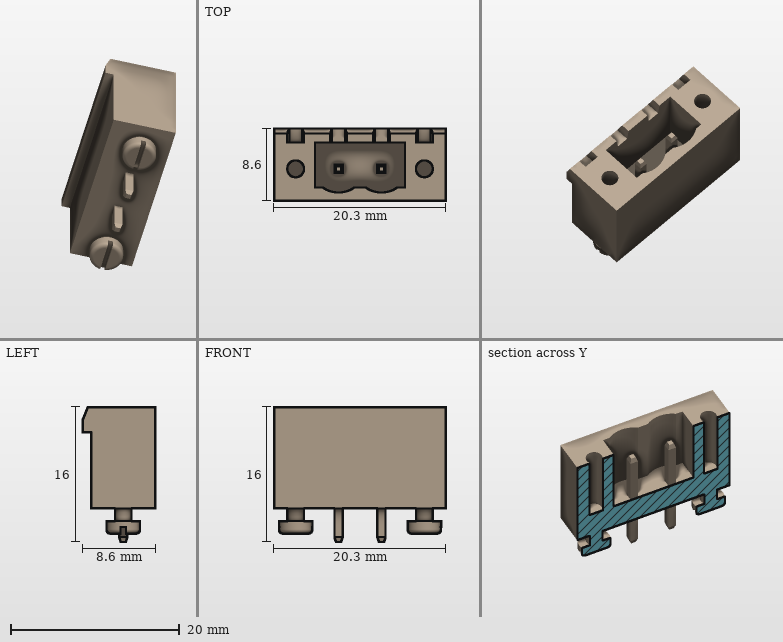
import cadquery as cq
import math

pitch = 5.08
housing_length = 4 * pitch
housing_depth = 7.6
housing_height = 12.0
lip_overhang = 1.0
lip_height = 3.0
lip_chamfer_depth = 0.6
lip_chamfer_height = 1.5

pin_x_positions = (-pitch / 2, pitch / 2)
screw_x_positions = (-1.5 * pitch, 1.5 * pitch)
axis_y = housing_depth / 2

notch_top_width = 2.0
notch_floor_width = 1.5
notch_depth = lip_chamfer_height
notch_front_y = 6.9

cavity_length = 10.6
cavity_front_y = 1.6
cavity_rear_y = notch_front_y
cavity_depth = 8.5
scallop_sag = 0.6
scallop_radius = 3.3

pin_width = 1.0
pin_tip_width = 0.6
pin_tip_length = 0.6
pin_top_z = 10.0
pin_bottom_z = -4.0

screw_diameter = 2.0
screw_head_diameter = 4.0
screw_neck_length = 1.5
screw_head_height = 1.5
screw_head_fillet = 0.5
screw_slot_width = 0.6
screw_slot_depth = 0.8
screw_hole_depth = cavity_depth


def make_housing():
    """Block with a chamfered overhanging lip along the top of its rear wall."""
    lip_y = housing_depth + lip_overhang
    profile = [
        (0, 0),
        (housing_depth, 0),
        (housing_depth, housing_height - lip_height),
        (lip_y, housing_height - lip_height),
        (lip_y, housing_height - lip_chamfer_height),
        (lip_y - lip_chamfer_depth, housing_height),
        (0, housing_height),
    ]
    block = cq.Workplane("YZ").polyline(profile).close().extrude(housing_length)
    return block.translate((-housing_length / 2, 0, 0))


def make_cavity():
    """Rectangular pocket whose front wall bulges into a shallow arc at each pin."""
    half_chord = math.sqrt(scallop_radius**2 - (scallop_radius - scallop_sag) ** 2)
    half_length = cavity_length / 2
    outline = cq.Workplane("XY").workplane(offset=housing_height - cavity_depth)
    outline = outline.moveTo(-half_length, cavity_front_y)
    for x in pin_x_positions:
        outline = outline.lineTo(x - half_chord, cavity_front_y)
        outline = outline.threePointArc(
            (x, cavity_front_y - scallop_sag),
            (x + half_chord, cavity_front_y),
        )
    outline = outline.lineTo(half_length, cavity_front_y)
    outline = outline.lineTo(half_length, cavity_rear_y)
    outline = outline.lineTo(-half_length, cavity_rear_y)
    return outline.close().extrude(cavity_depth)


def make_notch(x):
    """Notch with flared sides, open at the top and at the rear of the lip."""
    floor_z = housing_height - notch_depth
    profile = [
        (x - notch_floor_width / 2, floor_z),
        (x + notch_floor_width / 2, floor_z),
        (x + notch_top_width / 2, housing_height),
        (x - notch_top_width / 2, housing_height),
    ]
    length = housing_depth + lip_overhang - notch_front_y
    notch = cq.Workplane("XZ").polyline(profile).close().extrude(-length)
    return notch.translate((0, notch_front_y, 0))


def make_pin_tip(x, base_z, direction):
    """Tapered pin end starting at base_z and pointing up (1) or down (-1)."""
    return (
        cq.Workplane("XY", origin=(x, axis_y, base_z))
        .rect(pin_width, pin_width)
        .workplane(offset=direction * pin_tip_length)
        .rect(pin_tip_width, pin_tip_width)
        .loft(ruled=True)
    )


def make_pin(x):
    """Square contact pin, tapered at both ends."""
    shank_bottom_z = pin_bottom_z + pin_tip_length
    shank_top_z = pin_top_z - pin_tip_length
    shank = (
        cq.Workplane("XY", origin=(x, axis_y, shank_bottom_z))
        .rect(pin_width, pin_width)
        .extrude(shank_top_z - shank_bottom_z)
    )
    upper_tip = make_pin_tip(x, shank_top_z, 1)
    lower_tip = make_pin_tip(x, shank_bottom_z, -1)
    return shank.union(upper_tip).union(lower_tip)


def make_screw(x):
    """Slotted screw head on a neck below the housing base."""
    head_bottom_z = -screw_neck_length - screw_head_height
    head = (
        cq.Workplane("XY", origin=(x, axis_y, head_bottom_z))
        .circle(screw_head_diameter / 2)
        .extrude(screw_head_height)
        .faces("<Z")
        .edges()
        .fillet(screw_head_fillet)
    )
    slot = (
        cq.Workplane("XY", origin=(x, axis_y, head_bottom_z))
        .rect(screw_head_diameter, screw_slot_width)
        .extrude(screw_slot_depth)
    )
    neck = (
        cq.Workplane("XY", origin=(x, axis_y, -screw_neck_length))
        .circle(screw_diameter / 2)
        .extrude(screw_neck_length)
    )
    return head.cut(slot).union(neck)


def make_screw_hole(x):
    """Blind hole in the housing top, in line with the screw below."""
    return (
        cq.Workplane("XY", origin=(x, axis_y, housing_height - screw_hole_depth))
        .circle(screw_diameter / 2)
        .extrude(screw_hole_depth)
    )


result = make_housing().cut(make_cavity())
for x in pin_x_positions + screw_x_positions:
    result = result.cut(make_notch(x))
for x in pin_x_positions:
    result = result.union(make_pin(x))
for x in screw_x_positions:
    result = result.union(make_screw(x)).cut(make_screw_hole(x))